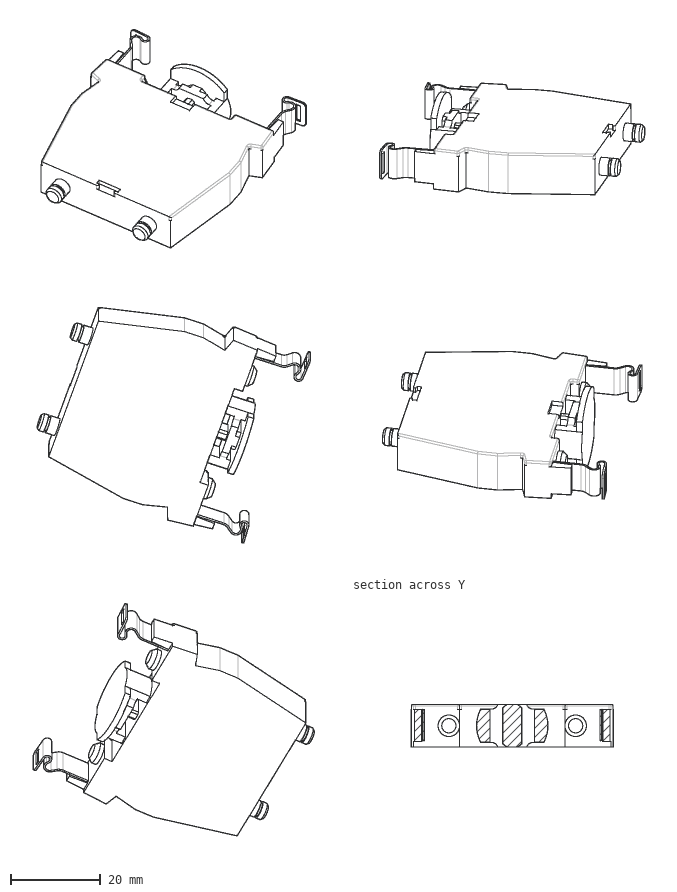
import cadquery as cq
import math


overlap = 0.5

body_height = 9.55
body_half_height = body_height / 2
cover_thickness = 1.1
cover_corner_radius = 0.45
cover_edge_radius = 0.4
end_half_width = 17.0
waist_half_width = 20.95
waist_start_y = 18.95
waist_end_y = 23.5
neck_half_width = 19.7
neck_y = 28.95
cheek_base_half_width = 22.55
cheek_base_y = 30.0
cheek_top_y = 35.9
recess_half_width = 11.75
recess_y = 33.95

rear_notch_width = 5.05
rear_notch_length = 2.5
slot_half_width = 2.75
slot_end_y = 1.7
slot_shoulder_y = 0.8
mouth_half_width = 2.0
mouth_lip_y = 0.5
mouth_radius = 0.4

pin_spacing = 22.7
pin_diameter = 4.0
pin_tip_diameter = 3.2
pin_length = 4.2
pin_chamfer_length = 0.5
groove_start = 2.1
groove_end = 2.6

button_spacing = 28.3
button_diameter = 4.8
button_tip_diameter = 3.2
button_height = 2.0
button_rim_height = 1.0

arm_end_y = 40.3
arm_tip_outer_x = 21.65
arm_tip_inner_x = 20.3
arm_root_inner_x = 20.1
arm_top_z = 3.65
arm_bottom_z = -3.55

cheek_slope = (arm_tip_outer_x - cheek_base_half_width) / (arm_end_y - cheek_base_y)
cheek_top_half_width = cheek_base_half_width + cheek_slope * (cheek_top_y - cheek_base_y)

clip_thickness = 0.4
clip_top_z = arm_top_z
clip_bottom_z = -3.35
clip_root_y = cheek_top_y - overlap
stem_x = 19.8
stem_end_y = 42.9
stem_bend_radius = 1.95
large_curl_radius = 1.2
large_curl_x = 20.1
large_curl_y = 45.3
small_curl_radius = 0.85
small_curl_x = 18.6
small_curl_y = 46.75
clip_tip_x = 23
clip_tip_y = 47.85
clip_tip_corner_radius = 1.05
clip_slot_x = 21.1
clip_slot_width = 1.05
clip_slot_length = 4.8

plate_radius = 9.5
plate_half_width = 7.05
plate_y = 38.8
plate_thickness = 1.35
yoke_radius = 8.0
yoke_half_height = 3.7
yoke_gap_half_width = 5.15
window_half_width = 4.95
bar_start_y = 36.2
bar_end_y = 37.8
bar_half_height = body_half_height
bar_top_half_width = 3.25
bar_foot_half_width = 4.65
hub_half_width = 2.15
hub_top_half_width = 1.2
hub_shoulder_z = 4.0
shaft_diameter = 6.0
shaft_width = 2.2
shaft_x = -0.25
shaft_flat_width = 1.05

knob_end_y = plate_y + plate_thickness


def mirrored_x(shape):
    return shape.union(shape.mirror("YZ"))


def prism_xy(half_outline, z_low, z_high):
    """Extrude an outline given by its +X half and mirrored across X = 0."""
    other_half = [(-x, y) for x, y in reversed(half_outline)]
    profile = cq.Workplane("XY", origin=(0, 0, z_low)).polyline(half_outline + other_half).close()
    return profile.extrude(z_high - z_low)


def plane_at_y(y):
    """XZ work plane at height y; positive extrusions run toward -Y."""
    return cq.Workplane("XZ", origin=(0, y, 0))


def box_between(x_low, x_high, y_low, y_high, half_height):
    center = ((x_low + x_high) / 2, (y_low + y_high) / 2, 0)
    return cq.Workplane("XY", origin=center).box(x_high - x_low, y_high - y_low, 2 * half_height)


def make_housing():
    half_outline = [
        (end_half_width, 0),
        (waist_half_width, waist_start_y),
        (waist_half_width, waist_end_y),
        (neck_half_width, neck_y),
        (cheek_base_half_width, cheek_base_y),
        (cheek_top_half_width, cheek_top_y),
        (recess_half_width, cheek_top_y),
        (recess_half_width, recess_y),
    ]
    seam_z = body_half_height - cover_thickness
    base = prism_xy(half_outline, -body_half_height, seam_z)
    cover = prism_xy(half_outline, seam_z, body_half_height)

    waist_band = cq.selectors.BoxSelector(
        (-waist_half_width - overlap, waist_start_y - overlap, 0),
        (waist_half_width + overlap, waist_end_y + overlap, body_half_height),
    )
    corners = cover.edges("|Z").edges(cq.selectors.InverseSelector(waist_band))
    corner_envelope = corners.fillet(cover_corner_radius)
    cover = corners.edges("not <Y").fillet(cover_corner_radius)
    cover = cover.faces(">Z").edges("not <Y").fillet(cover_edge_radius)
    cover = cover.intersect(corner_envelope)
    return base.union(cover)


def make_cover_notches():
    seam_z = body_half_height - cover_thickness
    rear = cq.Workplane("XY", origin=(0, recess_y, seam_z)).rect(rear_notch_width, 2 * rear_notch_length)
    rear = rear.extrude(cover_thickness)

    arc_shift = mouth_radius * (1 - math.sqrt(0.5))
    outer_x = mouth_half_width + mouth_radius
    arc_x = mouth_half_width + arc_shift
    slot = (
        cq.Workplane("XY", origin=(0, 0, seam_z))
        .moveTo(-outer_x, 0)
        .lineTo(outer_x, 0)
        .threePointArc((arc_x, arc_shift), (mouth_half_width, mouth_radius))
        .lineTo(mouth_half_width, mouth_lip_y)
        .lineTo(slot_half_width, slot_shoulder_y)
        .lineTo(slot_half_width, slot_end_y)
        .lineTo(-slot_half_width, slot_end_y)
        .lineTo(-slot_half_width, slot_shoulder_y)
        .lineTo(-mouth_half_width, mouth_lip_y)
        .lineTo(-mouth_half_width, mouth_radius)
        .threePointArc((-arc_x, arc_shift), (-outer_x, 0))
        .close()
        .extrude(cover_thickness)
    )
    return rear.union(slot)


def turned_along_y(profile, x):
    """Revolve (radius, y) points about the line parallel to Y through x."""
    return cq.Workplane("XY").polyline(profile).close().revolve(360, (0, 0), (0, 1)).translate((x, 0, 0))


def make_pins():
    radius = pin_diameter / 2
    tip_radius = pin_tip_diameter / 2
    profile = [
        (0, overlap),
        (radius, overlap),
        (radius, -groove_start),
        (tip_radius, -groove_start),
        (tip_radius, -groove_end),
        (radius, -groove_end),
        (radius, pin_chamfer_length - pin_length),
        (tip_radius, -pin_length),
        (0, -pin_length),
    ]
    return mirrored_x(turned_along_y(profile, pin_spacing / 2))


def make_buttons():
    profile = [
        (0, cheek_top_y - overlap),
        (button_diameter / 2, cheek_top_y - overlap),
        (button_diameter / 2, cheek_top_y + button_rim_height),
        (button_tip_diameter / 2, cheek_top_y + button_height),
        (0, cheek_top_y + button_height),
    ]
    return mirrored_x(turned_along_y(profile, button_spacing / 2))


def make_arms():
    outline = [
        (arm_root_inner_x, cheek_base_y),
        (cheek_base_half_width, cheek_base_y),
        (arm_tip_outer_x, arm_end_y),
        (arm_tip_inner_x, arm_end_y),
        (arm_root_inner_x, cheek_top_y),
    ]
    arm = cq.Workplane("XY", origin=(0, 0, arm_bottom_z)).polyline(outline).close()
    return mirrored_x(arm.extrude(arm_top_z - arm_bottom_z))


def polar(x, y, radius, degrees):
    angle = math.radians(degrees)
    return (x + radius * math.cos(angle), y + radius * math.sin(angle))


def tangent_degrees(center_x, center_y, radius, point_x, point_y):
    """Degrees at which the tangent from a point touches a circle, on the counterclockwise side."""
    toward_point = math.atan2(point_y - center_y, point_x - center_x)
    opening = math.acos(radius / math.hypot(point_x - center_x, point_y - center_y))
    return math.degrees(toward_point + opening)


def make_clip_blank():
    """Bent strip on the +X side, full height, with tangent lines and concentric bends."""
    large_start = tangent_degrees(large_curl_x, large_curl_y, large_curl_radius, stem_x, stem_end_y)
    across_x = small_curl_x - large_curl_x
    across_y = small_curl_y - large_curl_y
    crossing = math.acos((large_curl_radius + small_curl_radius) / math.hypot(across_x, across_y))
    large_end = math.degrees(math.atan2(across_y, across_x) - crossing)
    small_start = large_end + 180
    small_end = tangent_degrees(small_curl_x, small_curl_y, small_curl_radius, clip_tip_x, clip_tip_y)
    stem_bend_x = stem_x + stem_bend_radius
    stem_bend_y = stem_end_y - stem_bend_radius * math.tan(math.radians(-large_start) / 2)
    bend_start = 180
    bend_end = bend_start + large_start

    def side_points(offset):
        """Corners and arc points of the strip side lying right of its center line."""
        def on_bend(degrees):
            return polar(stem_bend_x, stem_bend_y, stem_bend_radius - offset, degrees)

        def on_large(degrees):
            return polar(large_curl_x, large_curl_y, large_curl_radius + offset, degrees)

        def on_small(degrees):
            return polar(small_curl_x, small_curl_y, small_curl_radius - offset, degrees)

        root = (stem_x + offset, clip_root_y)
        bend = [on_bend(a) for a in (bend_start, (bend_start + bend_end) / 2, bend_end)]
        large = [on_large(a) for a in (large_start, (large_start + large_end) / 2, large_end)]
        small = [on_small(a) for a in (small_start, (small_start + small_end) / 2, small_end)]
        tip = polar(clip_tip_x, clip_tip_y, -offset, small_end)
        return root, bend, large, small, tip

    root, bend, large, small, tip = side_points(clip_thickness / 2)
    far_root, far_bend, far_large, far_small, far_tip = side_points(-clip_thickness / 2)
    outline = (
        cq.Workplane("XY", origin=(0, 0, clip_bottom_z))
        .moveTo(*root)
        .lineTo(*bend[0])
        .threePointArc(bend[1], bend[2])
        .lineTo(*large[0])
        .threePointArc(large[1], large[2])
        .lineTo(*small[0])
        .threePointArc(small[1], small[2])
        .lineTo(*tip)
        .lineTo(*far_tip)
        .lineTo(*far_small[2])
        .threePointArc(far_small[1], far_small[0])
        .lineTo(*far_large[2])
        .threePointArc(far_large[1], far_large[0])
        .lineTo(*far_bend[2])
        .threePointArc(far_bend[1], far_bend[0])
        .lineTo(*far_root)
        .close()
    )
    return outline.extrude(clip_top_z - clip_bottom_z)


def make_clips():
    clip = make_clip_blank()
    clip = clip.faces(">X").edges("not |Z").fillet(clip_tip_corner_radius)
    slot_z = (clip_top_z + clip_bottom_z) / 2
    slot = cq.Workplane("XY", origin=(clip_slot_x, clip_tip_y, slot_z)).box(
        clip_slot_width, 2 * small_curl_radius, clip_slot_length
    )
    return mirrored_x(clip.cut(slot))


def make_knob():
    plate = plane_at_y(knob_end_y).circle(plate_radius).extrude(plate_thickness)
    plate = plate.intersect(
        box_between(-plate_half_width, plate_half_width, plate_y, knob_end_y, plate_radius)
    )

    root_y = recess_y - overlap
    yoke = plane_at_y(knob_end_y).circle(yoke_radius).extrude(knob_end_y - root_y)
    yoke = yoke.intersect(
        box_between(-yoke_radius, yoke_radius, root_y, knob_end_y, yoke_half_height)
    )
    yoke = yoke.cut(
        box_between(-yoke_gap_half_width, yoke_gap_half_width, root_y, bar_start_y, yoke_half_height)
    )
    yoke = yoke.cut(
        box_between(-window_half_width, window_half_width, bar_end_y, plate_y, yoke_half_height)
    )

    rise = bar_half_height - yoke_half_height
    run = bar_foot_half_width - bar_top_half_width
    hollow_radius = (run ** 2 + rise ** 2) / (2 * rise)
    bar = box_between(
        -bar_foot_half_width, bar_foot_half_width, bar_start_y, bar_end_y, bar_half_height
    )
    hollows = (
        plane_at_y(bar_end_y)
        .rect(2 * bar_foot_half_width, 2 * (yoke_half_height + hollow_radius), forConstruction=True)
        .vertices()
        .circle(hollow_radius)
        .extrude(bar_end_y - bar_start_y)
    )
    bar = bar.cut(hollows)

    hub_corners = [(hub_half_width, hub_shoulder_z), (hub_top_half_width, bar_half_height)]
    hub_outline = hub_corners + [(-x, z) for x, z in reversed(hub_corners)]
    hub_outline += [(-x, -z) for x, z in hub_outline]
    hub = plane_at_y(plate_y).polyline(hub_outline).close().extrude(plate_y - bar_end_y)

    shaft = plane_at_y(bar_start_y).circle(shaft_diameter / 2).extrude(bar_start_y - root_y)
    chamfer = (shaft_width - shaft_flat_width) / 2
    slab = cq.Workplane("XY", origin=(shaft_x, recess_y, 0)).box(
        shaft_width, 2 * shaft_diameter, shaft_diameter
    )
    slab = slab.edges("|Y").chamfer(chamfer)
    shaft = shaft.intersect(slab)
    return plate.union(yoke).union(bar).union(hub).union(shaft)


result = make_housing().cut(make_cover_notches())
for feature in (make_pins(), make_buttons(), make_arms(), make_clips(), make_knob()):
    result = result.union(feature)